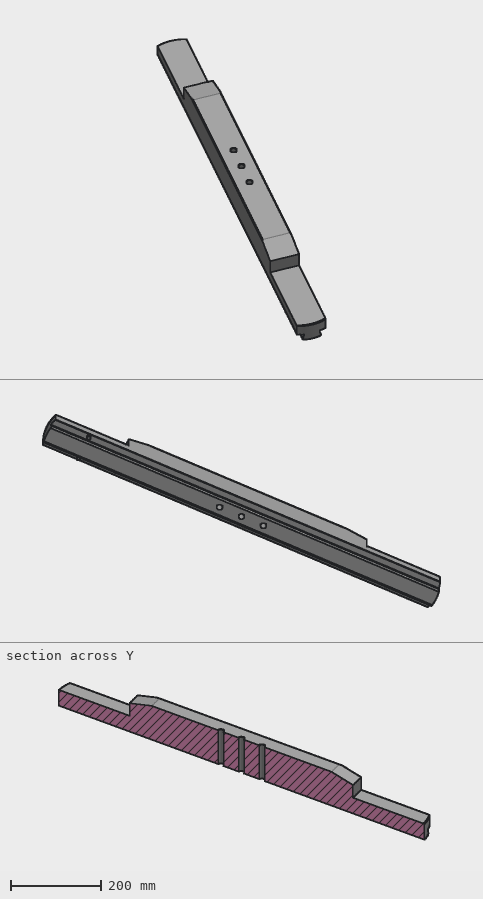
import cadquery as cq

bar_length = 952.55
bar_width = 68.0
total_height = 95.0
end_bulge = 6.275

arm_top_z = 45.0
hump_length = 582.0
hump_shoulder_z = 80.0
plateau_length = 468.0

body_bottom_z = 17.0
rail_neck_width = 37.0
rail_neck_z = 14.5
rail_widest_width = 44.0
rail_widest_z = 3.0
rail_bottom_width = 35.0

hole_count = 3
hole_diameter = 13.0
hole_spacing = 53.5

peg_x = 386.0
peg_y = 27.5
peg_diameter = 8.0
peg_bottom_z = 8.0

plateau_chamfer = 2.0
arm_end_chamfer = 2.0
body_bottom_chamfer = 1.0
hole_chamfer = 1.0

level_tolerance = 0.5


def body():
    """Full-width bar with a raised hump whose shoulders slope up to a plateau."""
    half_bar = bar_length / 2
    half_hump = hump_length / 2
    half_plateau = plateau_length / 2
    outline = [
        (-half_bar, body_bottom_z),
        (half_bar, body_bottom_z),
        (half_bar, arm_top_z),
        (half_hump, arm_top_z),
        (half_hump, hump_shoulder_z),
        (half_plateau, total_height),
        (-half_plateau, total_height),
        (-half_hump, hump_shoulder_z),
        (-half_hump, arm_top_z),
        (-half_bar, arm_top_z),
    ]
    return cq.Workplane("XZ").polyline(outline).close().extrude(bar_width / 2, both=True)


def rail():
    """Full-length rail with flanks flaring outward below a narrow neck."""
    half_neck = rail_neck_width / 2
    half_widest = rail_widest_width / 2
    half_bottom = rail_bottom_width / 2
    right_flank = [
        (half_bottom, 0),
        (half_widest, rail_widest_z),
        (half_neck, rail_neck_z),
        (half_neck, body_bottom_z),
    ]
    left_flank = [(-y, z) for y, z in reversed(right_flank)]
    section = cq.Workplane("YZ").polyline(right_flank + left_flank).close()
    return section.extrude(bar_length / 2, both=True)


def rounded_plan():
    """Plan outline of the bar with an arc bulging out at each end."""
    half_width = bar_width / 2
    tip = bar_length / 2
    corner = tip - end_bulge
    plan = (
        cq.Workplane("XY")
        .moveTo(-corner, -half_width)
        .lineTo(corner, -half_width)
        .threePointArc((tip, 0), (corner, half_width))
        .lineTo(-corner, half_width)
        .threePointArc((-tip, 0), (-corner, -half_width))
        .close()
    )
    return plan.extrude(total_height)


def peg(side):
    """Vertical peg under the body; side is -1 for -Y and +1 for +Y."""
    base = cq.Workplane("XY", origin=(peg_x, side * peg_y, peg_bottom_z))
    return base.circle(peg_diameter / 2).extrude(body_bottom_z - peg_bottom_z)


def plateau_holes():
    """Row of vertical holes running right through the bar, chamfered at the plateau."""
    radius = hole_diameter / 2
    hole = cq.Solid.makeCylinder(radius, total_height)
    mouth_base = cq.Vector(0, 0, total_height - hole_chamfer)
    mouth = cq.Solid.makeCone(radius, radius + hole_chamfer, hole_chamfer, pnt=mouth_base)
    cutter = hole.fuse(mouth)
    row = cq.Workplane("XY").rarray(hole_spacing, 1, hole_count, 1)
    return row.eachpoint(lambda place: cutter.located(place))


def edges_near(z_level):
    """Selector for edges centred within a small height band around z_level."""
    return cq.selectors.BoxSelector(
        (-bar_length, -bar_width, z_level - level_tolerance),
        (bar_length, bar_width, z_level + level_tolerance),
    )


def chamfer_edges(part):
    """Break the plateau's long edges, the body's lower edges and the curved arm ends."""
    part = part.faces(">Z").edges("|X").chamfer(plateau_chamfer)
    part = part.edges(edges_near(body_bottom_z)).edges("|X").edges("<Y or >Y").chamfer(body_bottom_chamfer)
    return part.edges(edges_near(arm_top_z)).edges("%CIRCLE").chamfer(arm_end_chamfer)


result = body().union(rail()).intersect(rounded_plan())
result = chamfer_edges(result)
for side in (-1, 1):
    result = result.union(peg(side))
result = result.cut(plateau_holes())